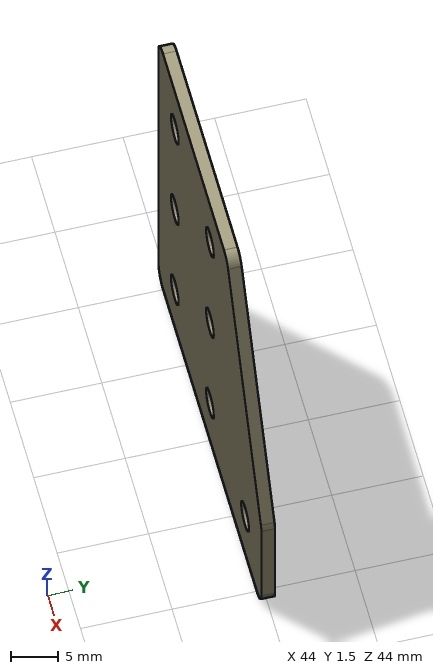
import cadquery as cq

side = 44.0
thickness = 1.5
corner_radius = 2.0
top_width = 29.2
right_height = 14.45
hole_diameter = 3.3
hole_pitch = 15.0
hole_margin = 7.0

hole_centres = [
    (hole_margin + column * hole_pitch, hole_margin + row * hole_pitch)
    for column, hole_count in enumerate((3, 3, 1))
    for row in range(hole_count)
]


def make_plate():
    """Square plate with its upper right corner cut off and all corners rounded."""
    outline = [
        (0, 0),
        (side, 0),
        (side, right_height),
        (top_width, side),
        (0, side),
    ]
    plate = cq.Workplane("XZ").polyline(outline).close().extrude(thickness)
    return plate.edges("|Y").fillet(corner_radius)


def make_holes():
    """Cylinders that pass through the full thickness of the plate."""
    holes = cq.Workplane("XZ").pushPoints(hole_centres)
    return holes.circle(hole_diameter / 2).extrude(thickness)


result = make_plate().cut(make_holes())